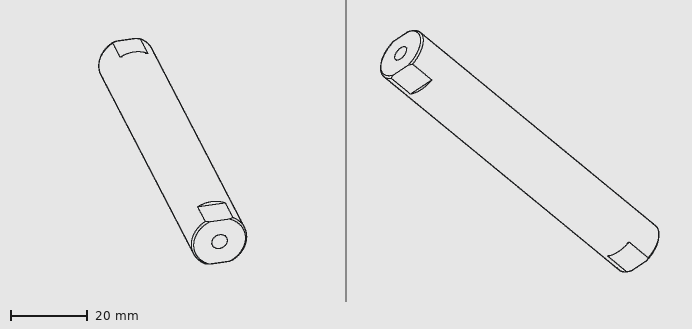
import cadquery as cq

LENGTH = 93.0
DIAMETER = 15.0
BORE_DIAMETER = 4.2
END_CHAMFER = 0.5
FLAT_LENGTH = 8.0
ACROSS_FLATS = 13.0


def make_rod():
    """Round rod along X, centred on the origin, with chamfered ends."""
    rod = cq.Workplane("YZ").circle(DIAMETER / 2).extrude(LENGTH / 2, both=True)
    return rod.faces("<X or >X").chamfer(END_CHAMFER)


def make_bore():
    """Axial through hole."""
    return cq.Workplane("YZ").circle(BORE_DIAMETER / 2).extrude(LENGTH / 2, both=True)


def make_flat_cutter(end, side):
    """Block that removes one wrench flat; end is -1 or 1 along X, side is -1 or 1 along Z."""
    depth = (DIAMETER - ACROSS_FLATS) / 2
    center_x = end * (LENGTH - FLAT_LENGTH) / 2
    center_z = side * (ACROSS_FLATS + depth) / 2
    block = cq.Workplane("XY").box(FLAT_LENGTH, DIAMETER, depth)
    return block.translate((center_x, 0, center_z))


result = make_rod().cut(make_bore())
for end in (-1, 1):
    for side in (-1, 1):
        result = result.cut(make_flat_cutter(end, side))